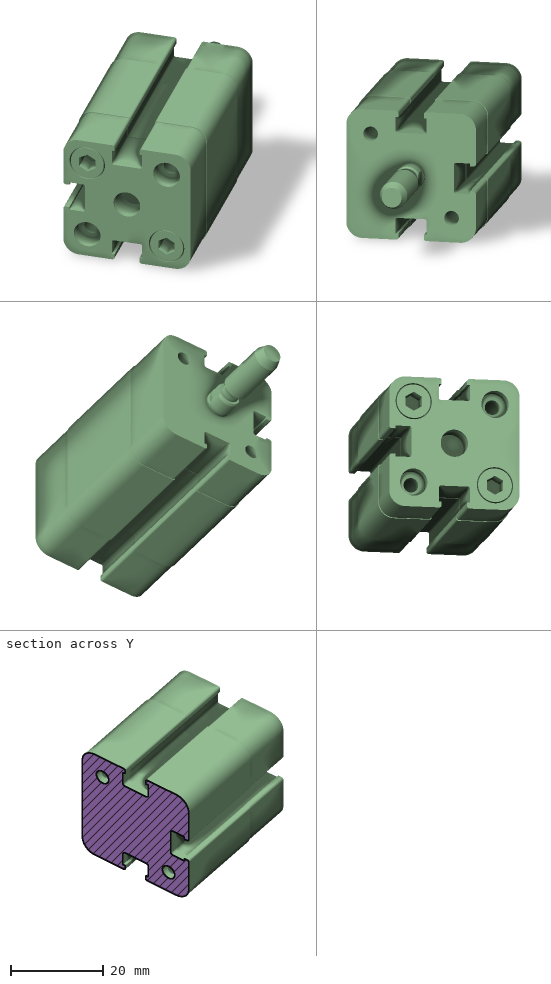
import cadquery as cq
import math


total_length = 68.5
cap_length = 12.2
barrel_length = 23.6
body_length = 2 * cap_length + barrel_length

barrel_width = 29.05
cap_width = 28.8
corner_radius = 3.5

cap_mouth_width = 5.6
barrel_mouth_width = 5.5
slot_undercut = 0.6
slot_lip = 1.4
slot_depth = 4.85
slot_floor_radius = 0.4
cap_mouth_radius = 0.55
barrel_mouth_radius = 0.4

corner_offset = 9.0
through_diameter = 3.2
counterbore_diameter = 6.0
counterbore_depth = 3.4
screw_bore_diameter = 8.0
screw_head_diameter = 7.5
screw_gap_depth = 1.4
socket_across_flats = 3.6
socket_depth = 4.1
centre_bore_diameter = 6.0
centre_bore_depth = 5.5

rod_diameter = 6.0
rod_overlap = 0.7
rod_tip_diameter = 4.4
rod_tip_taper = 2.1
thread_end_from_tip = 13.55
neck_diameter = 4.4
neck_root_radius = 0.4
shoulder_from_tip = 15.95
shoulder_chamfer_radial = 0.3
shoulder_chamfer_axial = 0.55
wrench_across_flats = 5.0
flat_end_from_tip = 19.5


def y_plane(y):
    """Sketch plane normal to -Y at the given Y, with sketch x = X and sketch y = Z."""
    return cq.Workplane("XZ", origin=(0, y, 0))


def slot_cutter(width, start, length, mouth_width):
    """T-shaped groove open towards +Z, for a block of the given width."""
    top = width / 2
    floor = top - slot_depth
    mouth = y_plane(start).center(0, top - slot_lip / 2).rect(mouth_width, slot_lip).extrude(-length)
    inner = (
        y_plane(start)
        .center(0, floor + (slot_depth - slot_lip) / 2)
        .rect(mouth_width + 2 * slot_undercut, slot_depth - slot_lip)
        .extrude(-length)
        .edges("|Y and <Z")
        .fillet(slot_floor_radius)
    )
    return inner.union(mouth)


def block(width, start, length, mouth_width, mouth_radius):
    """Rounded square block with T-slots on the top, bottom and -X sides."""
    body = y_plane(start).rect(width, width).extrude(-length).edges("|Y").fillet(corner_radius)
    cutter = slot_cutter(width, start, length, mouth_width)
    for angle in (0, 180, -90):
        body = body.cut(cutter.rotate((0, 0, 0), (0, 1, 0), angle))
    half = width / 2
    mouth_half = mouth_width / 2
    middle = start + length / 2
    mouth_corners = [(x, z) for x in (-mouth_half, mouth_half) for z in (-half, half)]
    mouth_corners += [(-half, z) for z in (-mouth_half, mouth_half)]
    for x, z in mouth_corners:
        edge = cq.selectors.NearestToPointSelector((x, middle, z))
        body = body.edges(edge).fillet(mouth_radius)
    return body


def rod():
    """Turned rod with tapered tip, neck and two wrench flats."""
    r = rod_diameter / 2
    tip_r = rod_tip_diameter / 2
    neck_r = neck_diameter / 2
    thread_end = total_length - thread_end_from_tip
    shoulder = total_length - shoulder_from_tip
    turned = (
        cq.Workplane("XY")
        .moveTo(0, body_length - rod_overlap)
        .lineTo(r, body_length - rod_overlap)
        .lineTo(r, shoulder - shoulder_chamfer_axial)
        .lineTo(r - shoulder_chamfer_radial, shoulder)
        .lineTo(neck_r, shoulder)
        .lineTo(neck_r, thread_end - neck_root_radius)
        .tangentArcPoint((neck_r + neck_root_radius, thread_end), relative=False)
        .lineTo(r, thread_end)
        .lineTo(r, total_length - rod_tip_taper)
        .lineTo(tip_r, total_length)
        .lineTo(0, total_length)
        .close()
        .revolve(360, (0, 0, 0), (0, 1, 0))
    )
    flat = wrench_across_flats / 2
    flat_end = total_length - flat_end_from_tip
    runout = r - flat
    cutter = (
        cq.Workplane("XY")
        .moveTo(flat, shoulder)
        .lineTo(flat, flat_end)
        .lineTo(r, flat_end - runout)
        .lineTo(r, shoulder)
        .close()
        .extrude(r, both=True)
    )
    return turned.cut(cutter).cut(cutter.mirror("YZ"))


def hole(diameter, depth, points):
    """Cylinders running from the -Y face into the body, centred on (X, Z) points."""
    return y_plane(0).pushPoints(points).circle(diameter / 2).extrude(-depth)


def hex_sockets(points):
    """Hexagonal wrench sockets with a corner pointing along Z."""
    across_corners = socket_across_flats / math.cos(math.pi / 6)
    hexagon = cq.Sketch().regularPolygon(across_corners / 2, 6)
    return y_plane(0).pushPoints(points).placeSketch(hexagon).extrude(-socket_depth)


open_corners = [(corner_offset, corner_offset), (-corner_offset, -corner_offset)]
screw_corners = [(-corner_offset, corner_offset), (corner_offset, -corner_offset)]

rear_cap = block(cap_width, 0, cap_length, cap_mouth_width, cap_mouth_radius)
barrel = block(barrel_width, cap_length, barrel_length, barrel_mouth_width, barrel_mouth_radius)
rod_end_cap = rear_cap.translate((0, cap_length + barrel_length, 0))
screw_gaps = hole(screw_bore_diameter, screw_gap_depth, screw_corners).cut(
    hole(screw_head_diameter, screw_gap_depth, screw_corners)
)

result = (
    barrel.union(rear_cap)
    .union(rod_end_cap)
    .union(rod())
    .cut(hole(through_diameter, body_length, open_corners))
    .cut(hole(counterbore_diameter, counterbore_depth, open_corners))
    .cut(hole(centre_bore_diameter, centre_bore_depth, [(0, 0)]))
    .cut(screw_gaps)
    .cut(hex_sockets(screw_corners))
)